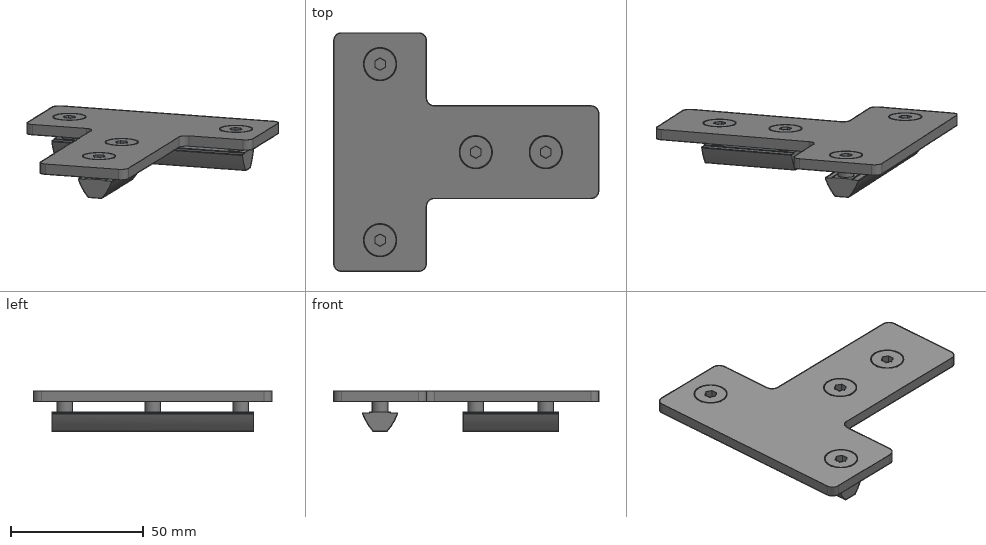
import cadquery as cq
import math

PLATE_LENGTH = 100.0
PLATE_WIDTH = 90.0
ARM_WIDTH = 35.0
PLATE_THICKNESS = 4.0
CORNER_RADIUS = 3.0

NUT_GAP = 4.0
NUT_HEIGHT = 7.2
NUT_TOP_WIDTH = 13.2
NUT_BASE_WIDTH = 5.3
NUT_LIP_WIDTH = 8.0
NUT_LIP_HEIGHT = 0.3
NUT_RIM_HEIGHT = 0.3
NUT_SIDE_BULGE = 0.35
CROSS_NUT_LENGTH = 76.0
STEM_NUT_LENGTH = 36.0

SHANK_DIAMETER = 6.0
HEAD_DIAMETER = 12.0
HEAD_GAP = 0.25
HEX_ACROSS_FLATS = 4.0
HEX_DEPTH = 3.0
CROSS_SCREW_SPACING = 66.4
STEM_SCREW_SPACING = 26.4

CROSS_X = ARM_WIDTH / 2
STEM_CENTER_X = 66.8
NUT_TOP_Z = -PLATE_THICKNESS - NUT_GAP
HEAD_HEIGHT = (HEAD_DIAMETER - SHANK_DIAMETER) / 2

SCREW_POSITIONS = [
    (CROSS_X, -CROSS_SCREW_SPACING / 2),
    (CROSS_X, CROSS_SCREW_SPACING / 2),
    (STEM_CENTER_X - STEM_SCREW_SPACING / 2, 0),
    (STEM_CENTER_X + STEM_SCREW_SPACING / 2, 0),
]


def make_plate():
    cross_bar = cq.Workplane("XY").box(ARM_WIDTH, PLATE_WIDTH, PLATE_THICKNESS, centered=(False, True, False))
    stem = cq.Workplane("XY").box(PLATE_LENGTH, ARM_WIDTH, PLATE_THICKNESS, centered=(False, True, False))
    plate = cross_bar.union(stem).edges("|Z").fillet(CORNER_RADIUS)
    return plate.translate((0, 0, -PLATE_THICKNESS))


def make_nut(length):
    """Nut centred on the origin, running along Y, with the top of its lip at Z = 0."""
    top_half = NUT_TOP_WIDTH / 2
    base_half = NUT_BASE_WIDTH / 2
    lip_half = NUT_LIP_WIDTH / 2
    shoulder_z = -NUT_LIP_HEIGHT
    rim_z = shoulder_z - NUT_RIM_HEIGHT
    return (
        cq.Workplane("XZ")
        .moveTo(-lip_half, 0)
        .lineTo(lip_half, 0)
        .lineTo(lip_half, shoulder_z)
        .lineTo(top_half, shoulder_z)
        .lineTo(top_half, rim_z)
        .sagittaArc((base_half, -NUT_HEIGHT), NUT_SIDE_BULGE)
        .lineTo(-base_half, -NUT_HEIGHT)
        .sagittaArc((-top_half, rim_z), NUT_SIDE_BULGE)
        .lineTo(-top_half, shoulder_z)
        .lineTo(-lip_half, shoulder_z)
        .close()
        .extrude(length / 2, both=True)
    )


def make_head_gap():
    """Thin conical gap between a screw head and its countersink."""
    head_radius = HEAD_DIAMETER / 2
    shank_radius = SHANK_DIAMETER / 2
    return (
        cq.Workplane("XZ")
        .moveTo(head_radius, 0)
        .lineTo(head_radius + HEAD_GAP, 0)
        .lineTo(shank_radius + HEAD_GAP, -HEAD_HEIGHT)
        .lineTo(shank_radius, -HEAD_HEIGHT)
        .close()
        .revolve(360, (0, 0, 0), (0, 1, 0))
    )


def make_hex_socket():
    """Hexagonal socket with two of its flats facing along X."""
    across_corners = HEX_ACROSS_FLATS / math.cos(math.pi / 6)
    socket = cq.Workplane("XY").polygon(6, across_corners).extrude(-HEX_DEPTH)
    return socket.rotate((0, 0, 0), (0, 0, 1), 30)


cross_nut = make_nut(CROSS_NUT_LENGTH).translate((CROSS_X, 0, NUT_TOP_Z))
stem_nut = (
    make_nut(STEM_NUT_LENGTH)
    .rotate((0, 0, 0), (0, 0, 1), 90)
    .translate((STEM_CENTER_X, 0, NUT_TOP_Z))
)
shanks = (
    cq.Workplane("XY", origin=(0, 0, NUT_TOP_Z))
    .pushPoints(SCREW_POSITIONS)
    .circle(SHANK_DIAMETER / 2)
    .extrude(NUT_GAP)
)

result = make_plate().union(shanks).union(cross_nut).union(stem_nut)
head_gap = make_head_gap()
hex_socket = make_hex_socket()
for x, y in SCREW_POSITIONS:
    result = result.cut(head_gap.translate((x, y, 0)))
    result = result.cut(hex_socket.translate((x, y, 0)))